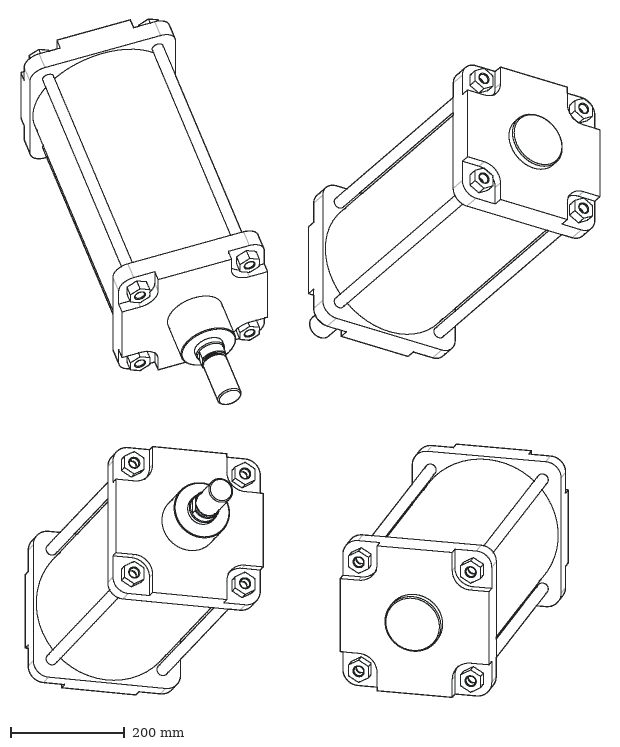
import cadquery as cq
import math

total_length = 753.0
rear_face = 14.0
cap_thickness = 50.0
front_face = 563.0
barrel_start = rear_face + cap_thickness
barrel_end = front_face - cap_thickness

cap_side = 270.0
cap_corner_radius = 28.0
pocket_side = 67.0
pocket_depth = 18.0
pocket_radius = 33.0
spigot_diameter = 102.0
spigot_chamfer = 2.0
nose_length = 74.5
nose_chamfer = 1.5

barrel_diameter = 260.0
wall_thickness = 7.5

tie_diameter = 20.0
tie_offset = 102.0
nut_across_flats = 36.0
nut_bore = 17.0
nut_bore_chamfer = (tie_diameter - nut_bore) / 2

rod_diameter = 53.0
exposed_length = 10.0
step_length = 2.0
neck_diameter = 50.0
neck_end = 669.0
neck_chamfer = 1.5
flats_width = 43.0
thread_start = 672.0
thread_diameter = 44.0
thread_chamfer = 2.0
relief_diameter = 40.0

nose_end = front_face + nose_length
step_start = nose_end + exposed_length
neck_start = step_start + step_length
corner_signs = [(y, z) for y in (-1, 1) for z in (-1, 1)]


def rod_along_x(diameter, start, end):
    """Solid cylinder on the X axis between two X positions."""
    return cq.Workplane("YZ").workplane(offset=start).circle(diameter / 2).extrude(end - start)


def make_cap(inner_face, outer_face):
    """Square cap with rounded corners, four nut pockets and four tie rod holes."""
    outward = math.copysign(1, outer_face - inner_face)
    cap = (
        cq.Workplane("YZ").workplane(offset=inner_face)
        .rect(cap_side, cap_side)
        .extrude(outer_face - inner_face)
        .edges("|X").fillet(cap_corner_radius)
    )
    cap_corner = cap_side / 2
    for y, z in corner_signs:
        pocket = (
            cq.Workplane("YZ").workplane(offset=outer_face)
            .center(y * cap_corner, z * cap_corner)
            .rect(2 * pocket_side, 2 * pocket_side)
            .extrude(-outward * pocket_depth)
            .edges("|X").fillet(pocket_radius)
        )
        hole = rod_along_x(tie_diameter, min(inner_face, outer_face), max(inner_face, outer_face))
        cap = cap.cut(pocket).cut(hole.translate((0, y * tie_offset, z * tie_offset)))
    return cap


def make_rear_cap():
    """Closed cap with a short chamfered spigot."""
    spigot = rod_along_x(spigot_diameter, 0, rear_face).faces("<X").chamfer(spigot_chamfer)
    return make_cap(barrel_start, rear_face).union(spigot)


def make_front_cap():
    """Cap with a long chamfered nose, bored for the piston rod."""
    nose = rod_along_x(spigot_diameter, front_face, nose_end).faces(">X").chamfer(nose_chamfer)
    bore = rod_along_x(rod_diameter, barrel_end, nose_end)
    return make_cap(barrel_end, front_face).union(nose).cut(bore)


def make_barrel():
    """Plain tube held between the caps."""
    tube = rod_along_x(barrel_diameter, barrel_start, barrel_end)
    return tube.cut(rod_along_x(barrel_diameter - 2 * wall_thickness, barrel_start, barrel_end))


def make_tie_rod(y, z):
    """Tie rod with a bored hexagonal nut filling each cap pocket."""
    inner_start = rear_face + pocket_depth
    inner_end = front_face - pocket_depth
    shaft = rod_along_x(tie_diameter, inner_start, inner_end)
    nut_diameter = nut_across_flats / math.cos(math.pi / 6)
    for seat, outer in ((inner_start, rear_face), (inner_end, front_face)):
        mouth_side = "<X" if outer < seat else ">X"
        nut = (
            cq.Workplane("YZ").workplane(offset=seat)
            .transformed(rotate=(0, 0, 90))
            .polygon(6, nut_diameter).circle(nut_bore / 2)
            .extrude(outer - seat)
        )
        nut = nut.faces(mouth_side).edges("%CIRCLE").chamfer(nut_bore_chamfer)
        shaft = shaft.union(nut)
    return shaft.translate((0, y * tie_offset, z * tie_offset))


def make_piston_rod():
    """Stepped rod with two wrench flats, a relief groove and a threaded end."""
    rod_radius = rod_diameter / 2
    neck_radius = neck_diameter / 2
    thread_radius = thread_diameter / 2
    outline = [
        (barrel_end, 0),
        (barrel_end, rod_radius),
        (step_start, rod_radius),
        (neck_start, neck_radius),
        (neck_end - neck_chamfer, neck_radius),
        (neck_end, neck_radius - neck_chamfer),
        (neck_end, relief_diameter / 2),
        (thread_start, relief_diameter / 2),
        (thread_start, thread_radius),
        (total_length - thread_chamfer, thread_radius),
        (total_length, thread_radius - thread_chamfer),
        (total_length, 0),
    ]
    rod = cq.Workplane("XY").polyline(outline).close().revolve(360, (0, 0, 0), (1, 0, 0))
    flats_length = neck_end - neck_start
    for side in (-1, 1):
        flat_cut = cq.Workplane("XY").box(
            flats_length, neck_diameter, neck_diameter, centered=(False, True, True)
        )
        cut_offset = side * (flats_width + neck_diameter) / 2
        rod = rod.cut(flat_cut.translate((neck_start, cut_offset, 0)))
    return rod


rear_cap = make_rear_cap()
front_cap = make_front_cap()
barrel = make_barrel()
piston_rod = make_piston_rod()
tie_rods = [make_tie_rod(y, z) for y, z in corner_signs]

result = cq.Compound.makeCompound(
    [rear_cap.val(), front_cap.val(), barrel.val(), piston_rod.val(), *[tie.val() for tie in tie_rods]]
)